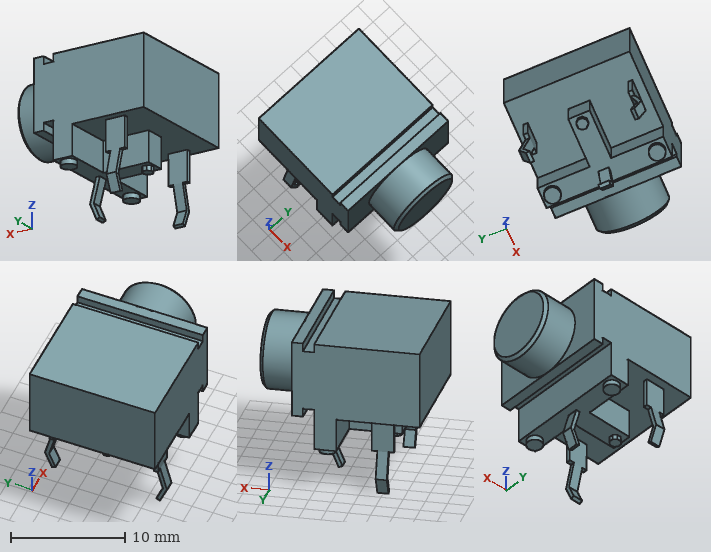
import cadquery as cq
import math

width = 12.0
height = 7.0
body_end = 9.5
groove_width = 1.0
flange_thickness = 1.0
groove_depth = 0.75
flange_start = body_end + groove_width
flange_end = flange_start + flange_thickness

length = 15.0
barrel_radius = height / 2
barrel_chamfer = 0.3

support_depth = 3.0
wall_start = 7.5
tab_start = 2.5
tab_end = 4.5
rib_start = 2.75
rib_width = 2.04

post_height = 0.5
post_diameter = 1.5
post_x = (wall_start + body_end) / 2
post_y = 5.0
octagon_width = 1.0

pin_width = 1.0
pin_thickness = 0.4
pin_bend_depth = 5.4
pin_deflection = 0.65
pin_tip_depth = 6.99
pin_tip_rise = 0.15
pin_tip_shift = 0.03
tab_pin_x = (tab_start + tab_end) / 2
center_pin_x = 8.4


def block(x_start, x_end, y_size, z_bottom, z_top, y_center=0.0):
    """Box spanning the given X and Z limits, centred on y_center."""
    return (
        cq.Workplane("XY")
        .box(x_end - x_start, y_size, z_top - z_bottom, centered=(False, True, False))
        .translate((x_start, y_center, z_bottom))
    )


def bent_pin():
    """Pin in the XZ plane, rooted at X = 0 and kinked towards +X."""
    half = pin_thickness / 2
    return (
        cq.Workplane("XZ")
        .polyline([
            (-half, -support_depth),
            (pin_deflection - half, -pin_bend_depth),
            (-half + pin_tip_shift, -pin_tip_depth + pin_tip_rise),
            (half - pin_tip_shift, -pin_tip_depth),
            (pin_deflection + half, -pin_bend_depth),
            (half, -support_depth),
        ])
        .close()
        .extrude(pin_width / 2, both=True)
    )


result = block(0, body_end, width, 0, height)
result = result.union(block(body_end, flange_start, width, groove_depth, height - groove_depth))
result = result.union(block(flange_start, flange_end, width, 0, height))

barrel = (
    cq.Workplane("YZ", origin=(flange_end, 0, height / 2))
    .circle(barrel_radius)
    .extrude(length - flange_end)
    .faces(">X")
    .chamfer(barrel_chamfer)
)
result = result.union(barrel)

result = result.union(block(wall_start, body_end, width, -support_depth, 0))
result = result.union(block(rib_start, wall_start, rib_width, -support_depth, 0))

octagon_post = (
    cq.Workplane("XY", origin=(tab_pin_x, 0, -support_depth))
    .rect(octagon_width, octagon_width)
    .extrude(-post_height)
    .edges("|Z")
    .chamfer(octagon_width / (2 + math.sqrt(2)))
)
result = result.union(octagon_post)

for side in (-1, 1):
    post = (
        cq.Workplane("XY", origin=(post_x, side * post_y, -support_depth))
        .circle(post_diameter / 2)
        .extrude(-post_height)
    )
    tab = block(tab_start, tab_end, pin_thickness, -support_depth, 0, side * post_y)
    side_pin = (
        bent_pin()
        .rotate((0, 0, 0), (0, 0, 1), side * 90)
        .translate((tab_pin_x, side * post_y, 0))
    )
    result = result.union(post).union(tab).union(side_pin)

result = result.union(bent_pin().translate((center_pin_x, 0, 0)))